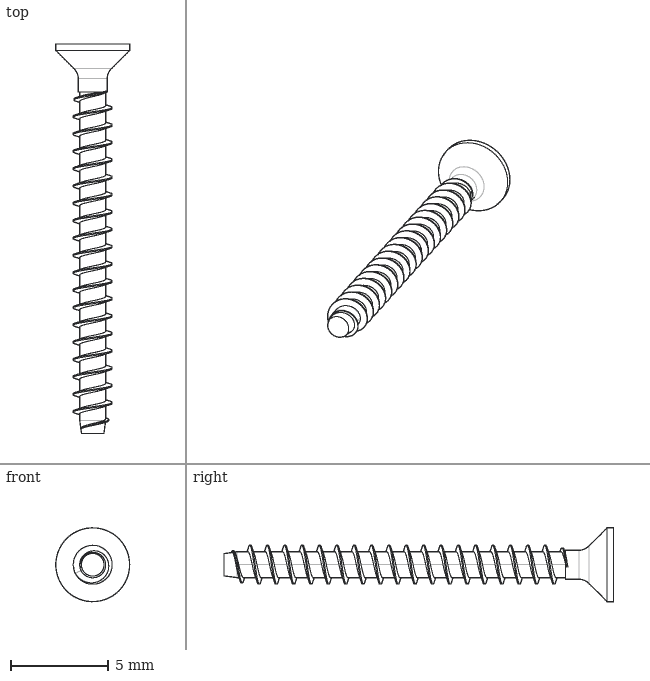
import cadquery as cq
import math

length = 20.0

head_radius = 1.9
head_rim_height = 0.35
cone_angle = 45
neck_fillet_radius = 0.72

shank_radius = 1.5 / 2
shank_end = 2.48

core_radius = 1.35 / 2
tip_radius = 0.58
tip_taper_start = 19.32

thread_length = 17.8
full_turns = 18
turn_count = full_turns + 2
pitch = thread_length / turn_count
crest_radius = 1.0
crest_width = 0.05
root_width = 0.3
root_overlap = 0.1
thread_start = 2.02
sunken_crest_radius = tip_radius
crest_on_x_depth = 18.42
points_per_turn = 24


def make_body():
    """Revolved head, neck fillet, shank and core."""
    slope = math.radians(cone_angle)
    fillet_top_radius = shank_radius + neck_fillet_radius * (1 - math.cos(slope))
    fillet_top = head_rim_height + (head_radius - fillet_top_radius) / math.tan(slope)
    fillet_bottom = fillet_top + neck_fillet_radius * math.sin(slope)
    half = slope / 2
    fillet_middle = (
        shank_radius + neck_fillet_radius * (1 - math.cos(half)),
        -(fillet_bottom - neck_fillet_radius * math.sin(half)),
    )
    return (
        cq.Workplane("XY")
        .lineTo(head_radius, 0)
        .lineTo(head_radius, -head_rim_height)
        .lineTo(fillet_top_radius, -fillet_top)
        .threePointArc(fillet_middle, (shank_radius, -fillet_bottom))
        .lineTo(shank_radius, -shank_end)
        .lineTo(core_radius, -shank_end)
        .lineTo(core_radius, -tip_taper_start)
        .lineTo(tip_radius, -length)
        .lineTo(0, -length)
        .close()
        .revolve(360, (0, 0, 0), (0, 1, 0))
    )


def crest_radius_at(turn):
    """Crest radius: rises over the first turn, stays constant, falls over the last turn."""
    fullness = min(1.0, turn, turn_count - turn)
    return sunken_crest_radius + fullness * (crest_radius - sunken_crest_radius)


def thread_edge(first_turn, radial_offset, axial_offset):
    """One turn of a helical edge displaced from the middle of the thread crest."""
    points = []
    for step in range(points_per_turn + 1):
        turn = first_turn + step / points_per_turn
        depth = thread_start + pitch * turn
        angle = 2 * math.pi * (depth - crest_on_x_depth) / pitch
        radius = crest_radius_at(turn) + radial_offset
        points.append(
            cq.Vector(radius * math.cos(angle), -depth + axial_offset, radius * math.sin(angle))
        )
    return cq.Edge.makeSpline(points)


def thread_edges(first_turn):
    """The four helical edges of one thread turn, in order around the trapezoid."""
    root_offset = core_radius - root_overlap - crest_radius
    return [
        thread_edge(first_turn, root_offset, -root_width / 2),
        thread_edge(first_turn, 0, -crest_width / 2),
        thread_edge(first_turn, 0, crest_width / 2),
        thread_edge(first_turn, root_offset, root_width / 2),
    ]


def end_face(edges, parameter):
    """Flat trapezoid closing one end of the thread."""
    corners = [edge.positionAt(parameter) for edge in edges]
    return cq.Face.makeFromWires(cq.Wire.makePolygon(corners, close=True))


def make_thread():
    """Trapezoidal thread ridge closed by ruled faces, turn by turn, and two end faces."""
    turns = [thread_edges(turn) for turn in range(turn_count)]
    faces = [end_face(turns[0], 0), end_face(turns[-1], 1)]
    for edges in turns:
        for index, edge in enumerate(edges):
            next_edge = edges[(index + 1) % len(edges)]
            faces.append(cq.Face.makeRuledSurface(edge, next_edge))
    return cq.Solid.makeSolid(cq.Shell.makeShell(faces))


result = make_body().union(cq.Workplane(make_thread()))